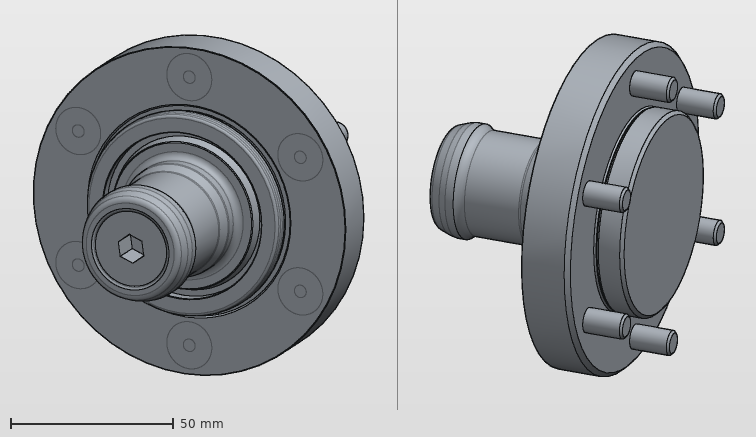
import cadquery as cq
import math


flange_radius = 52.4
flange_back = 15.8
flange_chamfer = 1.5
front_edge_chamfer = 0.2

recess_edge_radius = 34.1
recess_floor_radius = 33.5
recess_depth = recess_edge_radius - recess_floor_radius

hub_radius = 32.5
hub_back = 25.6
hub_back_chamfer = 1.0
hub_front = -5.7
undercut_radius = 32.1
undercut_bevel_length = 0.6
front_undercut_end = -0.7
back_undercut_start = 16.5
back_undercut_end = 16.8
hub_taper_start = -2.9
hub_taper_middle = (32.3, -3.9)
hub_taper_end_radius = 32.0
hub_front_round = 0.9

groove_outer_radius = 26.5
groove_inner_radius = 24.5
groove_floor = -2.1
groove_edge_chamfer = 0.2
base_radius = 23.3
base_front = -5.6
base_chamfer = 0.3

neck_radius = 16.7
collar_radius = 18.1
base_fillet = 2.3
collar_end = -11.4
collar_taper_end = -15.6
collar_round = 1.9
head_flare_start = -34.1
head_start = -37.2
head_taper_start = -39.9
head_taper_middle = (17.6, -42.1)
head_tip_radius = 16.1
head_round = 2.0
neck_end = -46.2

plug_seat_radius = 13.0
seat_step_radius = 12.3
seat_step_depth = 0.4
plug_radius = 11.9
plug_depth = 0.6
socket_sides = 6
socket_flats = 8.0
socket_depth = 9.4
socket_turn = 8.0

ring_margin = 0.1

bolt_count = 6
bolt_circle_radius = 43.0
bolt_radius = 4.0
bolt_end = 28.8
bolt_chamfer = 0.7
bolt_head_radius = 7.5
bolt_head_height = 8.4
bolt_centre_radius = 2.0


def revolve_profile(profile):
    """Close a half profile and turn it fully about the Y axis."""
    return profile.close().revolve(360, (0, 0), (0, 1))


def cylinder(radius, start, end):
    """Cylinder on the Y axis between two Y positions."""
    return cq.Workplane("XZ", origin=(0, start, 0)).circle(radius).extrude(start - end)


def ring_at(radius, y):
    """Selector for the circular edge of a given radius at a Y position."""
    reach = radius + ring_margin
    return cq.selectors.BoxSelector(
        (-reach, y - ring_margin, -reach), (reach, y + ring_margin, reach), boundingbox=True
    )


def make_flange():
    flange = cylinder(flange_radius, 0, flange_back)
    flange = flange.faces(">Y").edges().chamfer(flange_chamfer)
    flange = flange.faces("<Y").edges().chamfer(front_edge_chamfer)
    recess = revolve_profile(
        cq.Workplane("XY")
        .lineTo(recess_edge_radius, 0)
        .lineTo(recess_floor_radius, recess_depth)
        .lineTo(0, recess_depth)
    )
    return flange.cut(recess)


def make_hub():
    hub = revolve_profile(
        cq.Workplane("XY")
        .moveTo(0, hub_front)
        .lineTo(hub_taper_end_radius, hub_front)
        .lineTo(*hub_taper_middle)
        .lineTo(hub_radius, hub_taper_start)
        .lineTo(hub_radius, front_undercut_end - undercut_bevel_length)
        .lineTo(undercut_radius, front_undercut_end)
        .lineTo(undercut_radius, 0)
        .lineTo(hub_radius, flange_back)
        .lineTo(undercut_radius, back_undercut_start)
        .lineTo(undercut_radius, back_undercut_end)
        .lineTo(hub_radius, back_undercut_end + undercut_bevel_length)
        .lineTo(hub_radius, hub_back)
        .lineTo(0, hub_back)
    )
    hub = hub.faces(">Y").edges().chamfer(hub_back_chamfer)
    hub = hub.faces("<Y").edges().fillet(hub_front_round)
    hub = hub.cut(cylinder(groove_outer_radius, hub_front, groove_floor))
    return hub.edges(ring_at(groove_outer_radius, hub_front)).chamfer(groove_edge_chamfer)


def make_neck():
    flare_rise = collar_radius - neck_radius
    flare_length = head_flare_start - head_start
    flare_radius = (flare_length**2 + flare_rise**2) / (2 * flare_rise)
    half_angle = math.asin(flare_length / flare_radius) / 2
    flare_middle = (
        neck_radius + flare_radius * (1 - math.cos(half_angle)),
        head_flare_start - flare_radius * math.sin(half_angle),
    )
    fillet_offset = base_fillet * (1 - math.sqrt(0.5))
    neck = revolve_profile(
        cq.Workplane("XY")
        .moveTo(0, groove_floor)
        .lineTo(groove_inner_radius, groove_floor)
        .lineTo(base_radius + base_chamfer, base_front + base_chamfer)
        .lineTo(base_radius, base_front)
        .lineTo(collar_radius + base_fillet, base_front)
        .threePointArc(
            (collar_radius + fillet_offset, base_front - fillet_offset),
            (collar_radius, base_front - base_fillet),
        )
        .lineTo(collar_radius, collar_end)
        .lineTo(neck_radius, collar_taper_end)
        .lineTo(neck_radius, head_flare_start)
        .threePointArc(flare_middle, (collar_radius, head_start))
        .lineTo(collar_radius, head_taper_start)
        .lineTo(*head_taper_middle)
        .lineTo(head_tip_radius, neck_end)
        .lineTo(0, neck_end)
    )
    neck = neck.faces("<Y").edges().fillet(head_round)
    for ring_radius, ring_y in ((collar_radius, collar_end), (neck_radius, collar_taper_end)):
        neck = neck.edges(ring_at(ring_radius, ring_y)).fillet(collar_round)
    return neck


def make_plug_recess():
    plug_face = neck_end + plug_depth
    seat = revolve_profile(
        cq.Workplane("XY")
        .moveTo(0, neck_end)
        .lineTo(plug_seat_radius, neck_end)
        .lineTo(seat_step_radius, neck_end + seat_step_depth)
        .lineTo(plug_radius, plug_face)
        .lineTo(0, plug_face)
    )
    socket = (
        cq.Workplane("XZ", origin=(0, plug_face, 0))
        .polygon(socket_sides, socket_flats, circumscribed=True)
        .extrude(-socket_depth)
        .rotate((0, 0, 0), (0, 1, 0), -socket_turn)
    )
    return seat.union(socket)


def make_bolt():
    shank = cylinder(bolt_radius, 0, bolt_end).faces(">Y").edges().chamfer(bolt_chamfer)
    head = cylinder(bolt_head_radius, 0, bolt_head_height)
    centre = cylinder(bolt_centre_radius, 0, bolt_head_height)
    bolt = shank.union(head).union(centre, clean=False)
    return bolt.translate((0, 0, bolt_circle_radius))


result = make_flange().union(make_hub()).union(make_neck()).cut(make_plug_recess())

bolt = make_bolt()
for index in range(bolt_count):
    placed_bolt = bolt.rotate((0, 0, 0), (0, 1, 0), index * 360 / bolt_count)
    result = result.union(placed_bolt, clean=False)